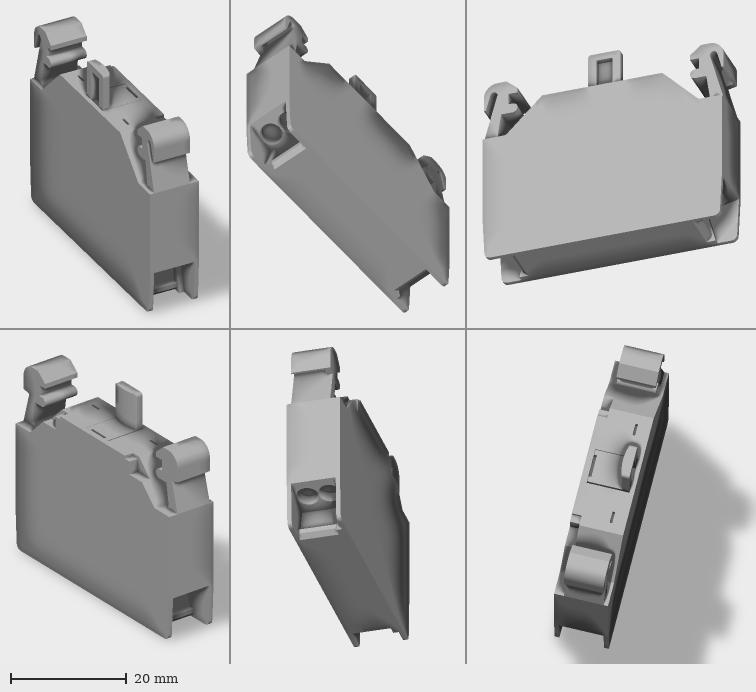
import cadquery as cq
import math

HALF_LENGTH = 22.0
HALF_WIDTH = 4.8
TOTAL_HEIGHT = 37.9
BODY_TOP = 30.98
BODY_TOP_HALF = 11.05
SHOULDER = 24.3
FOOT_HALF = 21.6
TAPER_START = 8.15
FOOT_RADIUS = 1.1
GAP_RADIUS = 0.8
WALL = 0.8
FRONT_INNER = WALL - HALF_WIDTH
BACK_INNER = HALF_WIDTH - WALL

STEP_FRONT = 3.05
LOW_STEP = 27.85
HIGH_STEP = 30.4
LOW_STEP_INNER = 10.6
HIGH_STEP_INNER = 9.25

HOOK_TOP = 35.7
HOOK_RADIUS = 2.5
HOOK_TIP = 15.85
HOOK_FLAT_END = 17.85
BEVEL_BOTTOM = 33.95
JAW_TOP = 33.05
JAW_BOTTOM = 30.98
JAW_BACK = 17.5
FINGER_BOTTOM = 29.15
STEM_NECK = 18.85
STEM_FOOT = 19.6
LIP_BOTTOM = 30.5
LIP_SLOPE = math.radians(12)
STEM_LEAN = math.radians(15.5)
SLOT_WIDTH = 1.3
SLOT_TOP = 33.92
HOOK_WEB = 1.05

CEILING = 8.2
CEILING_TILT = math.radians(15)
WALL_BOTTOM = 1.65
LEDGE_FACE = 17.25
LEDGE_BACK = 16.25
LEDGE_CHAMFER = 0.85
RIB_FOOT = 18.05
SCREW_DIAMETER = 3.5
SCREW_RIM_DIAMETER = 4.0
SCREW_RIM_DEPTH = 0.4
SCREW_SPACING = 3.95
SCREW_DEPTH = 1.75
SCREW_INSET = 3.5

PLUNGER_LEFT = -2.9
PLUNGER_RIGHT = 3.1
PLUNGER_CENTER = (PLUNGER_LEFT + PLUNGER_RIGHT) / 2
PLUNGER_FRONT = -3.85
PLUNGER_SIDE_BACK = -2.55
PLUNGER_CROWN_BACK = -2.02
PLUNGER_RADIUS = 0.55
PLUNGER_BACK_RADIUS = 0.25
WINDOW_HALF = 1.5
WINDOW_BOTTOM = 30.4
WINDOW_TOP = 36.55
WINDOW_DEPTH = 1.15
GUIDE_BACK = 3.65
GUIDE_HALF = 3.15
GUIDE_BACK_GAP = 0.05
GUIDE_DEPTH = 0.9
GUIDE_FLOOR = BODY_TOP - GUIDE_DEPTH
NOTCH_HALF = 2.02
NOTCH_WIDTH = 0.55

TAB_CENTER = 8.25
TAB_LENGTH = 2.1
TAB_GAP_FRONT = -2.4
TAB_GAP = 0.45
TAB_GAP_DEPTH = 0.9


def prism(sketch, y_start, y_end):
    """Extrude a closed XZ sketch from y_start to y_end."""
    return sketch.extrude(y_start - y_end).translate((0, y_start, 0))


def polygon(points, y_start, y_end):
    return prism(cq.Workplane("XZ").polyline(points).close(), y_start, y_end)


def box(x_start, x_end, y_start, y_end, z_start, z_end):
    size = (x_end - x_start, y_end - y_start, z_end - z_start)
    return cq.Workplane("XY").box(*size, centered=False).translate((x_start, y_start, z_start))


def both_ends(left):
    return left.union(left.mirror("YZ"))


def make_body():
    slope_foot = BODY_TOP_HALF + BODY_TOP - SHOULDER
    half = [
        (FOOT_HALF, 0),
        (HALF_LENGTH, TAPER_START),
        (HALF_LENGTH, SHOULDER),
        (slope_foot, SHOULDER),
        (BODY_TOP_HALF, BODY_TOP),
    ]
    outline = half + [(-x, z) for x, z in reversed(half)]
    body = polygon(outline, -HALF_WIDTH, HALF_WIDTH)
    body = body.edges("|Y").edges("<Z").fillet(FOOT_RADIUS)
    for side in (-1, 1):
        corner = cq.selectors.NearestToPointSelector((side * slope_foot, 0, SHOULDER))
        body = body.edges("|Y").edges(corner).fillet(GAP_RADIUS)
    return body


def make_back_steps():
    lower = box(-HALF_LENGTH, -LOW_STEP_INNER, STEP_FRONT, HALF_WIDTH, LOW_STEP, BODY_TOP)
    upper = box(-HALF_LENGTH, -HIGH_STEP_INNER, STEP_FRONT, HALF_WIDTH, HIGH_STEP, BODY_TOP)
    return both_ends(lower.union(upper))


def make_hook():
    """Left snap hook: leaning stem, rounded head with a jaw, and a slotted outer lip."""
    lean = math.tan(STEM_LEAN)
    lip_slope = math.tan(LIP_SLOPE)
    lip_reach = lean * (LIP_BOTTOM - SHOULDER) / (1 + lean * lip_slope)
    finger_radius = (JAW_BOTTOM - FINGER_BOTTOM) / 2
    finger_center = -HOOK_TIP - finger_radius
    arc_mid = HOOK_RADIUS * (1 - math.cos(math.radians(45)))
    sketch = (
        cq.Workplane("XZ")
        .moveTo(-HALF_LENGTH, SHOULDER)
        .lineTo(-HALF_LENGTH + lip_reach, LIP_BOTTOM - lip_reach * lip_slope)
        .lineTo(-HALF_LENGTH, LIP_BOTTOM)
        .lineTo(-HALF_LENGTH, HOOK_TOP - HOOK_RADIUS)
        .threePointArc(
            (-HALF_LENGTH + arc_mid, HOOK_TOP - arc_mid),
            (-HALF_LENGTH + HOOK_RADIUS, HOOK_TOP),
        )
        .lineTo(-HOOK_FLAT_END, HOOK_TOP)
        .lineTo(-HOOK_TIP, BEVEL_BOTTOM)
        .lineTo(-HOOK_TIP, JAW_TOP)
        .lineTo(-JAW_BACK, JAW_TOP)
        .lineTo(-JAW_BACK, JAW_BOTTOM)
        .lineTo(finger_center, JAW_BOTTOM)
        .threePointArc((-HOOK_TIP, JAW_BOTTOM - finger_radius), (finger_center, FINGER_BOTTOM))
        .lineTo(-STEM_NECK, FINGER_BOTTOM)
        .lineTo(-STEM_FOOT, SHOULDER)
        .close()
    )
    return prism(sketch, FRONT_INNER, STEP_FRONT).cut(make_lip_slot())


def make_lip_slot():
    """Round-ended slot along the stem, closed at the back by a web."""
    radius = SLOT_WIDTH / 2
    center_z = SLOT_TOP - radius
    stem_x = -HALF_LENGTH + (center_z - SHOULDER) * math.tan(STEM_LEAN)
    center_x = stem_x - radius / math.cos(STEM_LEAN)
    length = center_z - SHOULDER
    slot = (
        cq.Workplane("XZ")
        .moveTo(-radius, -length)
        .lineTo(-radius, 0)
        .threePointArc((0, radius), (radius, 0))
        .lineTo(radius, -length)
        .close()
    )
    slot = prism(slot, FRONT_INNER, STEP_FRONT - HOOK_WEB)
    slot = slot.rotate((0, 0, 0), (0, 1, 0), math.degrees(STEM_LEAN))
    return slot.translate((center_x, 0, center_z))


def leaning_wall_top(foot_x, foot_z):
    """Point where a wall square to the ceiling, rising from its foot, meets the ceiling."""
    run = foot_x + HALF_LENGTH
    rise = CEILING - foot_z
    slope = math.tan(CEILING_TILT)
    x = (run + rise * slope) / (1 + slope**2)
    return (x - HALF_LENGTH, CEILING - x * slope)


def make_screw_hole(y):
    """Screw hole with a conical rim, square to the tilted ceiling."""
    hole = (
        cq.Workplane("XZ")
        .lineTo(SCREW_RIM_DIAMETER / 2, 0)
        .lineTo(SCREW_DIAMETER / 2, SCREW_RIM_DEPTH)
        .lineTo(SCREW_DIAMETER / 2, SCREW_DEPTH)
        .lineTo(0, SCREW_DEPTH)
        .close()
        .revolve(360, (0, 0, 0), (0, 1, 0))
        .translate((SCREW_INSET, y, 0))
    )
    hole = hole.rotate((0, 0, 0), (0, 1, 0), math.degrees(CEILING_TILT))
    return hole.translate((-HALF_LENGTH, 0, CEILING))


def make_terminal_opening():
    """Left terminal opening with a tilted ceiling, a ledge, a rib and two screw holes."""
    mouth = [(-HALF_LENGTH, 0), (-HALF_LENGTH, CEILING)]
    main = mouth + [
        leaning_wall_top(-LEDGE_BACK, WALL_BOTTOM),
        (-LEDGE_BACK, WALL_BOTTOM),
        (-LEDGE_FACE, WALL_BOTTOM),
        (-LEDGE_FACE, LEDGE_CHAMFER),
        (LEDGE_CHAMFER - LEDGE_FACE, 0),
    ]
    beside_rib = mouth + [leaning_wall_top(-RIB_FOOT, 0), (-RIB_FOOT, 0)]
    opening = polygon(main, FRONT_INNER, STEP_FRONT)
    opening = opening.union(polygon(beside_rib, STEP_FRONT, BACK_INNER))
    for side in (-1, 1):
        opening = opening.union(make_screw_hole(side * SCREW_SPACING / 2))
    return opening


def make_plunger():
    """Windowed plunger with a crowned back, standing on the slider that fills its guide."""
    plunger = (
        cq.Workplane("XY")
        .workplane(offset=GUIDE_FLOOR)
        .moveTo(PLUNGER_LEFT, PLUNGER_FRONT)
        .lineTo(PLUNGER_RIGHT, PLUNGER_FRONT)
        .lineTo(PLUNGER_RIGHT, PLUNGER_SIDE_BACK)
        .threePointArc((PLUNGER_CENTER, PLUNGER_CROWN_BACK), (PLUNGER_LEFT, PLUNGER_SIDE_BACK))
        .close()
        .extrude(TOTAL_HEIGHT - GUIDE_FLOOR)
        .edges("|Z")
        .edges(">Y")
        .fillet(PLUNGER_BACK_RADIUS)
    )
    silhouette = box(
        PLUNGER_LEFT, PLUNGER_RIGHT, FRONT_INNER, GUIDE_BACK, GUIDE_FLOOR, TOTAL_HEIGHT
    )
    plunger = plunger.intersect(silhouette.edges("|Y and >Z").fillet(PLUNGER_RADIUS))
    window = box(
        PLUNGER_CENTER - WINDOW_HALF,
        PLUNGER_CENTER + WINDOW_HALF,
        PLUNGER_FRONT,
        PLUNGER_FRONT + WINDOW_DEPTH,
        WINDOW_BOTTOM,
        WINDOW_TOP,
    )
    slider_back = GUIDE_BACK - GUIDE_BACK_GAP
    slider = box(PLUNGER_LEFT, PLUNGER_RIGHT, PLUNGER_FRONT, slider_back, GUIDE_FLOOR, BODY_TOP)
    notch = box(
        PLUNGER_CENTER - NOTCH_HALF,
        PLUNGER_CENTER + NOTCH_HALF,
        GUIDE_BACK - NOTCH_WIDTH,
        GUIDE_BACK,
        GUIDE_FLOOR,
        BODY_TOP,
    )
    return slider.cut(notch).union(plunger).cut(window)


def make_guide():
    return box(-GUIDE_HALF, GUIDE_HALF, FRONT_INNER, GUIDE_BACK, GUIDE_FLOOR, BODY_TOP)


def make_tab_gap():
    """Narrow gap in the top face behind the left locking tab."""
    left = -TAB_CENTER - TAB_LENGTH / 2
    back = TAB_GAP_FRONT + TAB_GAP
    return box(left, left + TAB_LENGTH, TAB_GAP_FRONT, back, BODY_TOP - TAB_GAP_DEPTH, BODY_TOP)


def round_stem_feet(part):
    """Round the inner foot of each hook stem into the shoulder."""
    for side in (-1, 1):
        foot = cq.selectors.NearestToPointSelector((side * STEM_FOOT, 0, SHOULDER))
        part = part.edges("|Y").edges(foot).fillet(GAP_RADIUS)
    return part


result = make_body().cut(make_back_steps())
result = round_stem_feet(result.union(both_ends(make_hook())))
result = result.cut(both_ends(make_terminal_opening()))
result = result.cut(both_ends(make_tab_gap()))
result = result.cut(make_guide()).union(make_plunger())